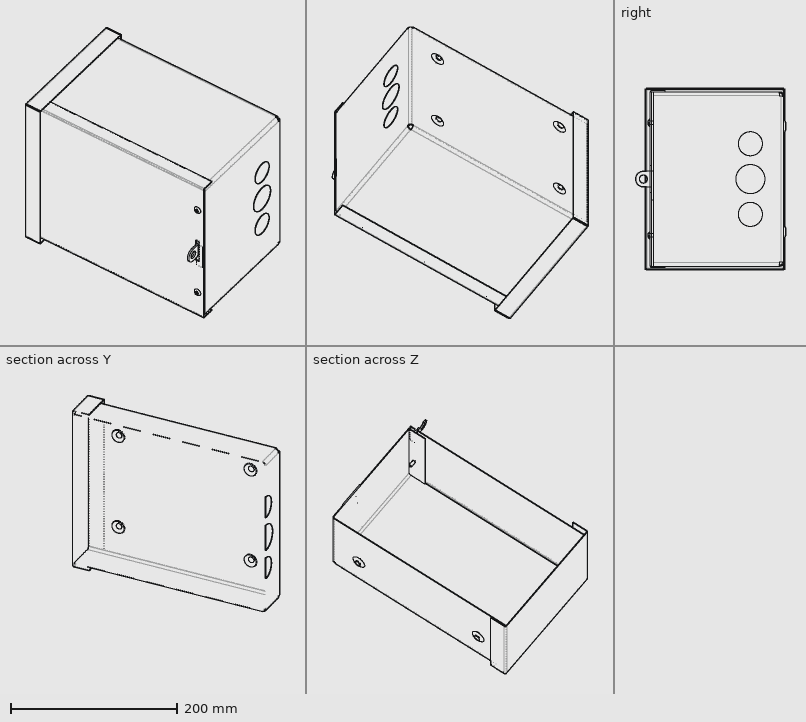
import cadquery as cq
import math

LENGTH_X = 261.12
DEPTH_Y = 180.96
HEIGHT_Z = 219.07
SHEET = 1.5

CAP_LEFT = -LENGTH_X / 2
CAP_TOP = HEIGHT_Z / 2
CAP_BACK = 89.2
CAP_FRONT = -79.2
CAP_DEPTH = 22.5
CAP_BEND = 2.3
INNER_CAP_BEND = CAP_BEND - SHEET
CAP_INSIDE = CAP_LEFT + SHEET
CAP_NOTCH_CLEARANCE = 0.2
CAP_NOTCH_Y = SHEET + CAP_NOTCH_CLEARANCE
CAP_NOTCH_Z = 1.0

SHELL_LEFT = CAP_INSIDE + INNER_CAP_BEND
KNOCKOUT_RAISE = 0.8
SHELL_RIGHT = LENGTH_X / 2 - KNOCKOUT_RAISE

COVER_FRONT = -72.8
COVER_TOP = 106.4
COVER_FLANGE = 17.6
COVER_BEND = 1.9

BOX_BACK = CAP_BACK - SHEET
BOX_TOP = COVER_TOP - SHEET
BOX_BEND = 4.4
BOX_CORNER_RELIEF = 5.0
BOX_CORNER_BEND = 3.2
HASP_SHEET = 2.2
BOX_FRONT = COVER_FRONT + SHEET + HASP_SHEET
LIP_WIDTH = 25.0

KNOCKOUT_Y = 47.7
KNOCKOUTS = [(42.5, 29.0), (0.0, 35.0), (-42.5, 29.0)]

DOME_DIAMETER = 17.5
DOME_TOP_DIAMETER = 8.0
DOME_HEIGHT = DEPTH_Y / 2 - BOX_BACK
DOME_CENTRE_X = 0.5
DOME_SPACING_X = 177.8
DOME_SPACING_Z = 127.0

SCREW_X = 121.2
SCREW_Z = 67.7
SCREW_HEAD_DIAMETER = 9.53
SCREW_HEAD_HEIGHT = 3.0
SCREW_SHANK_DIAMETER = 4.17
SCREW_HOLE_DIAMETER = 4.19
SCREW_LENGTH = 12.7
RECESS_LENGTH = 4.19
RECESS_WIDTH = 1.3
RECESS_DEPTH = 1.8

SLOT_LEFT = 118.4
SLOT_WIDTH = 4.6
SLOT_HEIGHT = 32.5
HASP_LEFT = 118.7
HASP_BASE_LENGTH = 9.0
HASP_BASE_BOTTOM = -25.0
HASP_RADIUS = 9.53
HASP_HOLE_DIAMETER = 9.53
HASP_TIP = -DEPTH_Y / 2


def block(x0, x1, y0, y1, z0, z1):
    """Rectangular block between opposite corners."""
    return cq.Workplane("XY").box(x1 - x0, y1 - y0, z1 - z0, centered=False).translate((x0, y0, z0))


def cylinder_along_y(diameter, x, z, y0, y1):
    """Cylinder parallel to Y between y0 and y1."""
    return cq.Workplane("XZ", origin=(x, y0, z)).circle(diameter / 2).extrude(y0 - y1)


def screw_holes(y0, y1):
    """Clearance holes for both cover screws."""
    upper = cylinder_along_y(SCREW_HOLE_DIAMETER, SCREW_X, SCREW_Z, y0, y1)
    return upper.union(upper.mirror("XY"))


def make_end_cap():
    right = CAP_LEFT + CAP_DEPTH
    outer = block(CAP_LEFT, right, CAP_FRONT, CAP_BACK, -CAP_TOP, CAP_TOP)
    outer = outer.faces("<X").edges().fillet(CAP_BEND)
    inside_top = CAP_TOP - SHEET
    inner = block(CAP_INSIDE, right, CAP_FRONT + SHEET, CAP_BACK - SHEET, -inside_top, inside_top)
    inner = inner.faces("<X").edges().fillet(INNER_CAP_BEND)
    cap = outer.cut(inner)
    mid_y = (CAP_FRONT + CAP_BACK) / 2
    notches = (
        cq.Workplane("YZ", origin=(CAP_LEFT, mid_y, 0))
        .rect(CAP_BACK - CAP_FRONT, HEIGHT_Z, forConstruction=True)
        .vertices()
        .rect(2 * CAP_NOTCH_Y, 2 * CAP_NOTCH_Z)
        .extrude(CAP_DEPTH)
    )
    return cap.cut(notches)


def make_cover():
    back = COVER_FRONT + COVER_FLANGE
    outer = block(SHELL_LEFT, SHELL_RIGHT, COVER_FRONT, back, -COVER_TOP, COVER_TOP)
    outer = outer.edges("|X and <Y").fillet(COVER_BEND)
    inside_front = COVER_FRONT + SHEET
    inner = block(SHELL_LEFT, SHELL_RIGHT, inside_front, back, -BOX_TOP, BOX_TOP)
    inner = inner.edges("|X and <Y").fillet(COVER_BEND - SHEET)
    slot = block(
        SLOT_LEFT, SLOT_LEFT + SLOT_WIDTH, COVER_FRONT, inside_front, -SLOT_HEIGHT / 2, SLOT_HEIGHT / 2
    )
    return outer.cut(inner).cut(slot).cut(screw_holes(COVER_FRONT, inside_front))


def rounded_block(inset, bend):
    """Box outline, open to the front and left, with its walls moved in by inset and rounded bends."""
    top = BOX_TOP - inset
    right = SHELL_RIGHT - inset
    back = BOX_BACK - inset
    back_bent = block(SHELL_LEFT, right, BOX_FRONT, back, -top, top).edges("|X and >Y").fillet(bend)
    right_bent = block(SHELL_LEFT, right, BOX_FRONT, back, -top, top).edges("|Y and >X").fillet(bend)
    corner_bent = block(SHELL_LEFT, right, BOX_FRONT, back, -top, top)
    corner_bent = corner_bent.edges("|Z and >X and >Y").fillet(BOX_CORNER_BEND - inset)
    return back_bent.intersect(right_bent).intersect(corner_bent)


def add_dome(box, x, z):
    """Formed hollow dome with a flat top on the back wall."""
    base_radius = DOME_DIAMETER / 2
    top_radius = DOME_TOP_DIAMETER / 2
    base_offset = (base_radius**2 - top_radius**2 - DOME_HEIGHT**2) / (2 * DOME_HEIGHT)
    sphere_radius = math.hypot(base_radius, base_offset)
    centre = (x, BOX_BACK - base_offset, z)
    inside = BOX_BACK - SHEET
    top = BOX_BACK + DOME_HEIGHT
    dome = cq.Workplane("XY").sphere(sphere_radius).translate(centre)
    dome = dome.intersect(cylinder_along_y(DOME_DIAMETER, x, z, inside, top))
    hollow = cq.Workplane("XY").sphere(sphere_radius - SHEET).translate(centre)
    hollow = hollow.intersect(cylinder_along_y(DOME_DIAMETER, x, z, inside, top - SHEET))
    return box.union(dome).cut(hollow)


def make_box():
    inside = rounded_block(SHEET, BOX_BEND - SHEET)
    box = rounded_block(0, BOX_BEND).cut(inside)
    inside_top = BOX_TOP - SHEET
    inside_right = SHELL_RIGHT - SHEET
    for z0 in (BOX_TOP - BOX_CORNER_RELIEF, -BOX_TOP):
        relief = block(
            SHELL_RIGHT - BOX_CORNER_RELIEF,
            SHELL_RIGHT,
            BOX_BACK - BOX_CORNER_RELIEF,
            BOX_BACK,
            z0,
            z0 + BOX_CORNER_RELIEF,
        )
        box = box.cut(relief)
    lip = block(
        SHELL_RIGHT - LIP_WIDTH, inside_right, BOX_FRONT, BOX_FRONT + SHEET, -inside_top, inside_top
    )
    box = box.union(lip.intersect(rounded_block(0, BOX_BEND)))
    box = box.cut(screw_holes(BOX_FRONT, BOX_FRONT + SHEET))
    for z, diameter in KNOCKOUTS:
        disc = cq.Workplane("YZ", origin=(inside_right, KNOCKOUT_Y, z)).circle(diameter / 2)
        box = box.union(disc.extrude(SHEET + KNOCKOUT_RAISE))
    for side_x in (-1, 1):
        for side_z in (-1, 1):
            x = DOME_CENTRE_X + side_x * DOME_SPACING_X / 2
            box = add_dome(box, x, side_z * DOME_SPACING_Z / 2)
    return box


def make_hasp():
    """L-shaped bracket: a base between lip and cover, and a rounded eye out through the slot."""
    base_front = BOX_FRONT - HASP_SHEET
    eye_y = HASP_TIP + HASP_RADIUS
    right = HASP_LEFT + HASP_SHEET
    base = block(
        HASP_LEFT, HASP_LEFT + HASP_BASE_LENGTH, base_front, BOX_FRONT, HASP_BASE_BOTTOM, HASP_RADIUS
    )
    arm = block(HASP_LEFT, right, eye_y, BOX_FRONT, -HASP_RADIUS, HASP_RADIUS)
    eye = cq.Workplane("YZ", origin=(HASP_LEFT, eye_y, 0)).circle(HASP_RADIUS).extrude(HASP_SHEET)
    hole = cq.Workplane("YZ", origin=(HASP_LEFT, eye_y, 0)).circle(HASP_HOLE_DIAMETER / 2)
    return base.union(arm).union(eye).cut(hole.extrude(HASP_SHEET))


def make_screw(z):
    """Round-head screw with a cross recess, its head on the front of the cover."""
    head_radius = SCREW_HEAD_DIAMETER / 2
    head_top = COVER_FRONT - SCREW_HEAD_HEIGHT
    sphere_radius = (head_radius**2 + SCREW_HEAD_HEIGHT**2) / (2 * SCREW_HEAD_HEIGHT)
    head = cq.Workplane("XY").sphere(sphere_radius).translate((SCREW_X, head_top + sphere_radius, z))
    head = head.intersect(cylinder_along_y(SCREW_HEAD_DIAMETER, SCREW_X, z, head_top, COVER_FRONT))
    shank = cylinder_along_y(SCREW_SHANK_DIAMETER, SCREW_X, z, COVER_FRONT, COVER_FRONT + SCREW_LENGTH)
    screw = head.union(shank)
    for width, height in ((RECESS_LENGTH, RECESS_WIDTH), (RECESS_WIDTH, RECESS_LENGTH)):
        arm = cq.Workplane("XZ", origin=(SCREW_X, head_top, z)).rect(width, height)
        screw = screw.cut(arm.extrude(-RECESS_DEPTH))
    return screw


end_cap = make_end_cap()
cover = make_cover()
box = make_box()
hasp = make_hasp()
screws = [make_screw(z) for z in (-SCREW_Z, SCREW_Z)]

result = cq.Compound.makeCompound(
    [end_cap.val(), cover.val(), box.val(), hasp.val(), *[screw.val() for screw in screws]]
)